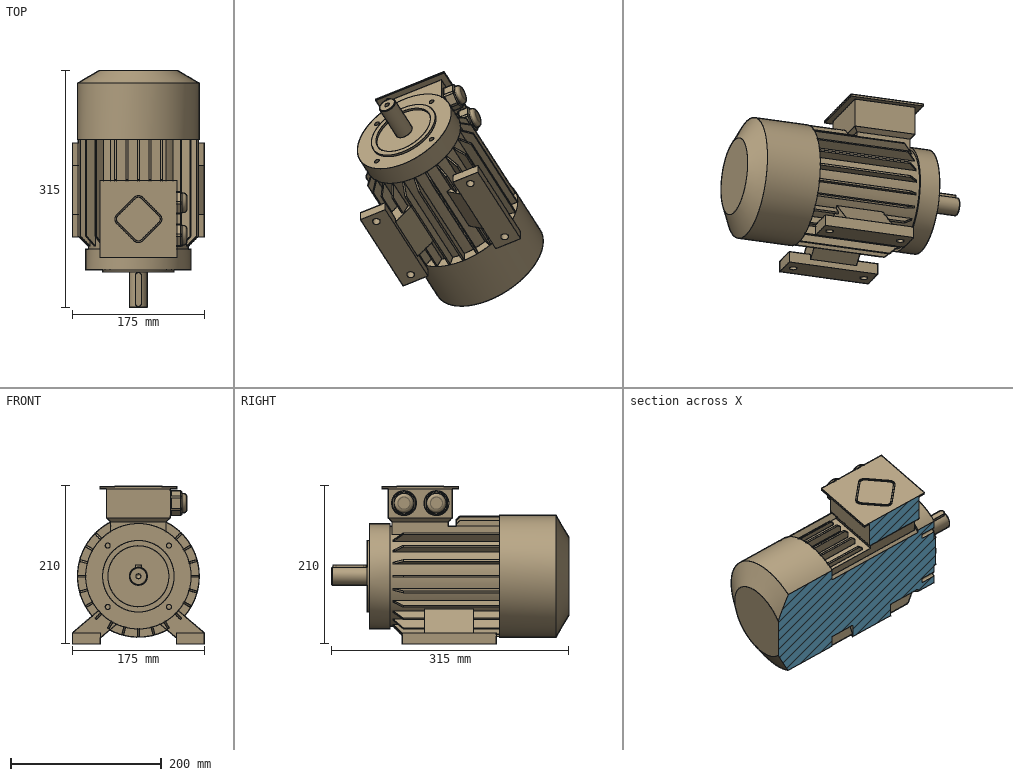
import cadquery as cq
import math


SHAFT_DIA = 24.0
SHAFT_LENGTH = 50.0
SHAFT_CHAMFER = 1.0
KEY_WIDTH = 8.0
KEY_LENGTH = 45.0
KEY_TIP_GAP = 1.5
KEY_TOP_Z = 15.0
TAP_DIA = 6.65
CENTRE_HOLE_DEPTH = 20.0
DRILL_POINT_ANGLE = 118.0

FLANGE_DIA = 140.0
FLANGE_THICKNESS = 27.5
RIM_OUTER_DIA = 95.0
RIM_INNER_DIA = 81.0
RIM_HEIGHT = 3.0
BOLT_CIRCLE_DIA = 115.0
BOLT_HOLE_COUNT = 4
BOLT_FIRST_ANGLE = 45
BOLT_HOLE_DEPTH = 20.0

BODY_DIA = 133.0
BODY_END_Y = 173.0
COVER_DIA = 162.0
COVER_TAPER_LENGTH = 17.2
COVER_END_DIA = 103.0
COVER_END_Y = 265.0

FIN_TIP_DIA = 160.0
FIN_THICKNESS = 2.5
FIN_FRONT_Y = 31.0
FIN_FRONT_CHAMFER = 14.0
FIN_ANGLE_STEP = 15
FIN_FIRST_ANGLE = 135
FIN_LAST_ANGLE = 405
TOP_FIN_PITCH = 15.3
TOP_FIN_OFFSETS = (-2, -1, 0, 1, 2)
TOP_FIN_FRONT_Y = 115.0
TOP_FIN_CHAMFER = 5.0

BOX_CENTRE_Y = 67.5
PEDESTAL_WIDTH = 73.5
PEDESTAL_LENGTH = 75.0
PEDESTAL_TOP_Z = 72.0
BOX_SIDE = 85.0
BOX_TAPER_TOP_Z = 77.5
LID_SIDE = 102.0
LID_BOTTOM_Z = 116.0
LID_THICKNESS = 3.0
FRAME_SIDE = 48.7
FRAME_CORNER_RADIUS = 8.0
FRAME_WALL = 2.0
FRAME_HEIGHT = 1.0

GLAND_SPACING = 43.0
GLAND_Z = 97.0
GLAND_DIA = 33.0
GLAND_COLLAR_LENGTH = 1.2
GLAND_HEX_ACROSS_FLATS = 30.0
GLAND_HEX_LENGTH = 14.0
GLAND_HEX_CHAMFER = 1.5
GLAND_CAP_DIA = 26.14
GLAND_CAP_LENGTH = 6.8
GLAND_CAP_ROUNDING = 5.0

SHAFT_HEIGHT = 90.0
FEET_WIDTH = 175.0
FOOT_CENTRE_Y = 106.0
FOOT_LENGTH = 125.0
FOOT_WIDTH = 37.0
FOOT_THICKNESS = 15.0
FOOT_HOLE_DIA = 10.0
FOOT_HOLE_SPACING_X = 140.0
FOOT_HOLE_SPACING_Y = 100.0
WEB_LENGTH = 65.0
WEB_SLOPE = 40.4
WEB_UNDERSIDE_DROP = 7.0

BODY_RADIUS = BODY_DIA / 2
FIN_TIP_RADIUS = FIN_TIP_DIA / 2
OVERLAP = 6.5


def cylinder_y(diameter, start_y, end_y):
    """Cylinder on the shaft axis between two Y positions."""
    plane = cq.Workplane("XZ", origin=(0, start_y, 0))
    return plane.circle(diameter / 2).extrude(start_y - end_y)


def box_between(width, length, centre_y, bottom_z, top_z):
    """Block centred on X = 0 between two heights."""
    plane = cq.Workplane("XY", origin=(0, centre_y, bottom_z))
    return plane.rect(width, length).extrude(top_z - bottom_z)


def make_body():
    """Finless body and the fan cover with its tapered rear end."""
    taper_start_y = COVER_END_Y - COVER_TAPER_LENGTH
    profile = [
        (0, FLANGE_THICKNESS),
        (BODY_RADIUS, FLANGE_THICKNESS),
        (BODY_RADIUS, BODY_END_Y),
        (COVER_DIA / 2, BODY_END_Y),
        (COVER_DIA / 2, taper_start_y),
        (COVER_END_DIA / 2, COVER_END_Y),
        (0, COVER_END_Y),
    ]
    return cq.Workplane("XY").polyline(profile).close().revolve(360, (0, 0), (0, 1))


def make_flange():
    """Flange with a raised locating rim and a circle of tapped holes."""
    flange = cylinder_y(FLANGE_DIA, 0, FLANGE_THICKNESS)
    rim = cylinder_y(RIM_OUTER_DIA, -RIM_HEIGHT, 0)
    rim = rim.cut(cylinder_y(RIM_INNER_DIA, -RIM_HEIGHT, 0))
    holes = (
        cq.Workplane("XZ")
        .polarArray(BOLT_CIRCLE_DIA / 2, BOLT_FIRST_ANGLE, 360, BOLT_HOLE_COUNT)
        .circle(TAP_DIA / 2)
        .extrude(-BOLT_HOLE_DEPTH)
    )
    return flange.union(rim).cut(holes)


def make_shaft():
    """Shaft end with a parallel key and a drilled centre hole."""
    shaft = cylinder_y(SHAFT_DIA, -SHAFT_LENGTH, FLANGE_THICKNESS)
    shaft = shaft.faces("<Y").chamfer(SHAFT_CHAMFER)
    key_centre_y = KEY_TIP_GAP - SHAFT_LENGTH + KEY_LENGTH / 2
    key = (
        cq.Workplane("XY", origin=(0, key_centre_y, 0))
        .slot2D(KEY_LENGTH, KEY_WIDTH, 90)
        .extrude(KEY_TOP_Z)
    )
    hole_radius = TAP_DIA / 2
    hole_end_y = CENTRE_HOLE_DEPTH - SHAFT_LENGTH
    point_depth = hole_radius / math.tan(math.radians(DRILL_POINT_ANGLE / 2))
    hole_profile = [
        (0, -SHAFT_LENGTH),
        (hole_radius, -SHAFT_LENGTH),
        (hole_radius, hole_end_y),
        (0, hole_end_y + point_depth),
    ]
    hole = cq.Workplane("XY").polyline(hole_profile).close().revolve(360, (0, 0), (0, 1))
    return shaft.union(key).cut(hole)


def make_radial_fins():
    """Radial fins around the sides and the bottom, sloped down at the front."""
    root_radius = BODY_RADIUS - OVERLAP
    profile = [
        (root_radius, FIN_FRONT_Y),
        (FIN_TIP_RADIUS - FIN_FRONT_CHAMFER, FIN_FRONT_Y),
        (FIN_TIP_RADIUS, FIN_FRONT_Y + FIN_FRONT_CHAMFER),
        (FIN_TIP_RADIUS, BODY_END_Y),
        (root_radius, BODY_END_Y),
    ]
    fin = cq.Workplane("XY").polyline(profile).close().extrude(FIN_THICKNESS / 2, both=True)
    fins = cq.Workplane("XY")
    for angle in range(FIN_FIRST_ANGLE, FIN_LAST_ANGLE + 1, FIN_ANGLE_STEP):
        fins = fins.add(fin.rotate((0, 0, 0), (0, 1, 0), -angle))
    return fins.combine()


def make_top_fins():
    """Upright parallel fins behind the terminal box, ending on the fin tip circle."""
    fins = cq.Workplane("XY")
    for offset in TOP_FIN_OFFSETS:
        fin_x = offset * TOP_FIN_PITCH
        tip_z = math.sqrt(FIN_TIP_RADIUS**2 - fin_x**2)
        root_z = BODY_RADIUS - OVERLAP
        profile = [
            (TOP_FIN_FRONT_Y, root_z),
            (TOP_FIN_FRONT_Y, tip_z - TOP_FIN_CHAMFER),
            (TOP_FIN_FRONT_Y + TOP_FIN_CHAMFER, tip_z),
            (BODY_END_Y, tip_z),
            (BODY_END_Y, root_z),
        ]
        plane = cq.Workplane("YZ", origin=(fin_x, 0, 0))
        fins = fins.add(plane.polyline(profile).close().extrude(FIN_THICKNESS / 2, both=True))
    return fins.combine()


def make_terminal_box():
    """Pedestal, saddle behind it, tapered housing and lid with a raised frame."""
    pedestal_front_y = BOX_CENTRE_Y - PEDESTAL_LENGTH / 2
    saddle_length = BODY_END_Y - pedestal_front_y
    saddle_centre_y = pedestal_front_y + saddle_length / 2
    saddle = box_between(PEDESTAL_WIDTH, saddle_length, saddle_centre_y, 0, BODY_RADIUS)
    pedestal = box_between(PEDESTAL_WIDTH, PEDESTAL_LENGTH, BOX_CENTRE_Y, 0, PEDESTAL_TOP_Z)
    taper = (
        cq.Workplane("XY", origin=(0, BOX_CENTRE_Y, PEDESTAL_TOP_Z))
        .rect(PEDESTAL_WIDTH, PEDESTAL_LENGTH)
        .workplane(offset=BOX_TAPER_TOP_Z - PEDESTAL_TOP_Z)
        .rect(BOX_SIDE, BOX_SIDE)
        .loft(ruled=True)
    )
    housing = box_between(BOX_SIDE, BOX_SIDE, BOX_CENTRE_Y, BOX_TAPER_TOP_Z, LID_BOTTOM_Z)
    lid_top_z = LID_BOTTOM_Z + LID_THICKNESS
    lid = box_between(LID_SIDE, LID_SIDE, BOX_CENTRE_Y, LID_BOTTOM_Z, lid_top_z)
    return saddle.union(pedestal).union(taper).union(housing).union(lid).union(make_lid_frame())


def rounded_square(side, corner_radius, bottom_z, height):
    """Square plate with rounded corners, standing on one corner about the box centre."""
    plate = box_between(side, side, BOX_CENTRE_Y, bottom_z, bottom_z + height)
    plate = plate.edges("|Z").fillet(corner_radius)
    return plate.rotate((0, BOX_CENTRE_Y, 0), (0, BOX_CENTRE_Y, 1), 45)


def make_lid_frame():
    """Raised diamond-shaped frame on the lid."""
    lid_top_z = LID_BOTTOM_Z + LID_THICKNESS
    inner_side = FRAME_SIDE - 2 * FRAME_WALL
    inner_radius = FRAME_CORNER_RADIUS - FRAME_WALL
    outer = rounded_square(FRAME_SIDE, FRAME_CORNER_RADIUS, lid_top_z, FRAME_HEIGHT)
    return outer.cut(rounded_square(inner_side, inner_radius, lid_top_z, FRAME_HEIGHT))


def make_gland(centre_y):
    """Cable gland: collar, hexagon with turned-down corners and a rounded cap."""
    box_face_x = BOX_SIDE / 2
    hex_start_x = box_face_x + GLAND_COLLAR_LENGTH
    hex_end_x = hex_start_x + GLAND_HEX_LENGTH
    across_corners = GLAND_HEX_ACROSS_FLATS / math.cos(math.radians(30))

    collar = cq.Workplane("YZ", origin=(box_face_x, 0, 0)).circle(GLAND_DIA / 2)
    collar = collar.extrude(GLAND_COLLAR_LENGTH)
    hex_plane = cq.Workplane("YZ", origin=(hex_start_x, 0, 0))
    corner_turning = hex_plane.circle(GLAND_DIA / 2).extrude(GLAND_HEX_LENGTH)
    hexagon = (
        hex_plane.transformed(rotate=(0, 0, 90))
        .polygon(6, across_corners)
        .extrude(GLAND_HEX_LENGTH)
        .intersect(corner_turning)
        .faces(">X")
        .chamfer(GLAND_HEX_CHAMFER)
    )
    cap = cq.Workplane("YZ", origin=(hex_end_x, 0, 0)).circle(GLAND_CAP_DIA / 2)
    cap = cap.extrude(GLAND_CAP_LENGTH).faces(">X").edges().fillet(GLAND_CAP_ROUNDING)
    return collar.union(hexagon).union(cap).translate((0, centre_y, GLAND_Z))


def make_foot():
    """Foot on the +X side: drilled plate and sloping web up to the body."""
    outer_x = FEET_WIDTH / 2
    inner_x = outer_x - FOOT_WIDTH
    plate_top_z = FOOT_THICKNESS - SHAFT_HEIGHT
    plate = (
        cq.Workplane("XY", origin=(outer_x - FOOT_WIDTH / 2, FOOT_CENTRE_Y, -SHAFT_HEIGHT))
        .rect(FOOT_WIDTH, FOOT_LENGTH)
        .extrude(FOOT_THICKNESS)
    )
    holes = (
        cq.Workplane("XY", origin=(FOOT_HOLE_SPACING_X / 2, FOOT_CENTRE_Y, -SHAFT_HEIGHT))
        .rarray(1, FOOT_HOLE_SPACING_Y, 1, 2)
        .circle(FOOT_HOLE_DIA / 2)
        .extrude(FOOT_THICKNESS)
    )
    underside_z = plate_top_z - WEB_UNDERSIDE_DROP
    slope = math.tan(math.radians(WEB_SLOPE))
    upper_run = outer_x - inner_x + OVERLAP
    lower_run = upper_run - OVERLAP
    web_profile = [
        (outer_x, plate_top_z),
        (outer_x - upper_run, plate_top_z + upper_run * slope),
        (inner_x - lower_run, underside_z + lower_run * slope),
        (inner_x, underside_z),
    ]
    web_plane = cq.Workplane("XZ", origin=(0, FOOT_CENTRE_Y, 0))
    web = web_plane.polyline(web_profile).close().extrude(WEB_LENGTH / 2, both=True)
    return plate.union(web).cut(holes)


motor = make_body().union(make_flange()).union(make_shaft())
motor = motor.union(make_terminal_box())
motor = motor.union(make_radial_fins()).union(make_top_fins())
for side in (-1, 1):
    motor = motor.union(make_gland(BOX_CENTRE_Y + side * GLAND_SPACING / 2))
foot = make_foot()
result = motor.union(foot).union(foot.mirror("YZ"))